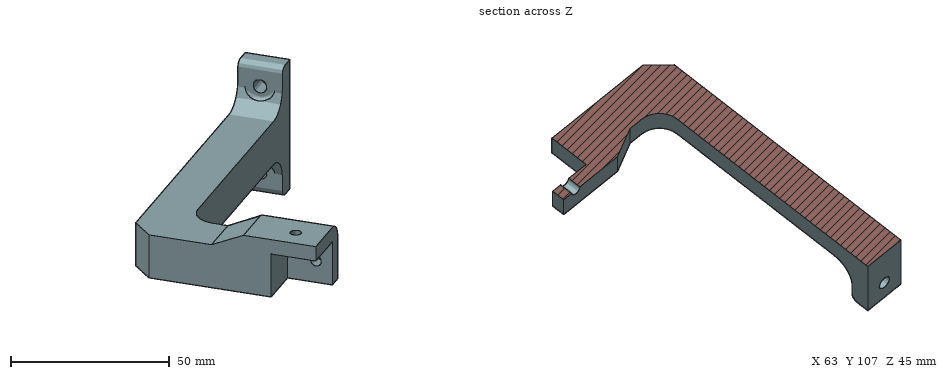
import cadquery as cq
import math

bar = 15.0
length_x = 63.0
length_y = 107.0
half_bar = bar / 2
bend_fillet = 8.0
bend_chamfer = 7.0

plate_height = 45.0
plate_thickness = 7.0
plate_fillet = 8.0
plate_edge_radius = 2.5
mount_hole_diameter = 4.5
mount_hole_z = 15.0
recess_diameter = 12.4
recess_floor_radius = 1.0
recess_z = 16.85

wall = 5.0
ramp_start = 28.0
ramp_angle = 25.0
ramp_end = ramp_start + wall / math.tan(math.radians(ramp_angle))
pocket_length = 15.0
small_hole_diameter = 3.5
top_hole_x = 53.5
side_hole_x = 57.5


def box(x0, x1, y0, y1, z0, z1):
    """Axis-aligned block between two opposite corners."""
    return cq.Workplane("XY").box(x1 - x0, y1 - y0, z1 - z0, centered=False).translate((x0, y0, z0))


def bent_bar():
    """L-shaped bar with a rounded inner corner and a chamfered outer corner."""
    return (
        cq.Workplane("XY")
        .workplane(offset=-half_bar)
        .polyline([(0, 0), (length_x, 0), (length_x, bar), (bar, bar), (bar, length_y), (0, length_y)])
        .close()
        .extrude(bar)
        .edges(cq.selectors.NearestToPointSelector((bar, bar, 0)))
        .fillet(bend_fillet)
        .edges(cq.selectors.NearestToPointSelector((0, 0, 0)))
        .chamfer(bend_chamfer)
    )


def plate_half():
    """Upper half of the mounting plate with its fillet onto the bar."""
    face_y = length_y - plate_thickness
    top = plate_height / 2
    fillet_sag = plate_fillet * (1 - math.sqrt(0.5))
    edge_sag = plate_edge_radius * (1 - math.sqrt(0.5))
    plate = (
        cq.Workplane("YZ")
        .moveTo(length_y, 0)
        .lineTo(length_y, top)
        .lineTo(face_y + plate_edge_radius, top)
        .threePointArc((face_y + edge_sag, top - edge_sag), (face_y, top - plate_edge_radius))
        .lineTo(face_y, half_bar + plate_fillet)
        .threePointArc(
            (face_y - fillet_sag, half_bar + fillet_sag),
            (face_y - plate_fillet, half_bar),
        )
        .lineTo(face_y - plate_fillet, 0)
        .close()
        .extrude(bar)
    )
    return plate.cut(head_recess()).cut(mount_hole())


def mount_hole():
    """Screw hole through the mounting plate."""
    return (
        cq.Workplane("XZ", origin=(half_bar, length_y, mount_hole_z))
        .circle(mount_hole_diameter / 2)
        .extrude(plate_thickness + plate_fillet)
    )


def head_recess():
    """Round-bottomed recess in the plate fillet, its flat floor level with the plate face."""
    return (
        cq.Workplane("XZ", origin=(half_bar, length_y - plate_thickness, recess_z))
        .circle(recess_diameter / 2)
        .extrude(plate_fillet)
        .edges(">Y")
        .fillet(recess_floor_radius)
    )


def bracket():
    """Walls above and behind the bar end, with a ramp that grows out of the bar."""
    corner_reach = wall * math.sqrt(0.5)
    walls = (
        cq.Workplane("YZ", origin=(ramp_end, 0, 0))
        .moveTo(0, -half_bar)
        .lineTo(bar + wall, -half_bar)
        .lineTo(bar + wall, half_bar)
        .threePointArc((bar + corner_reach, half_bar + corner_reach), (bar, half_bar + wall))
        .lineTo(0, half_bar + wall)
        .close()
        .extrude(length_x - ramp_end)
    )
    top_ramp = (
        cq.Workplane("XZ")
        .polyline([(ramp_start, half_bar), (ramp_end, half_bar), (ramp_end, half_bar + wall)])
        .close()
        .extrude(-bar)
    )
    back_ramp = (
        cq.Workplane("XY", origin=(0, 0, -half_bar))
        .polyline([(ramp_start, bar), (ramp_end, bar), (ramp_end, bar + wall)])
        .close()
        .extrude(bar)
    )
    corner_cone = cq.Workplane(
        cq.Solid.makeCone(
            0, wall, ramp_end - ramp_start, cq.Vector(ramp_start, bar, half_bar), cq.Vector(1, 0, 0)
        )
    )
    outer_corner = box(ramp_start, ramp_end, bar, bar + wall, half_bar, half_bar + wall)
    return walls.union(top_ramp).union(back_ramp).union(corner_cone.intersect(outer_corner))


def bracket_cuts():
    """Open pocket below the top wall and the two bracket holes."""
    pocket = box(length_x - pocket_length, length_x, 0, bar, -half_bar, half_bar)
    top_hole = (
        cq.Workplane("XY", origin=(top_hole_x, half_bar, half_bar))
        .circle(small_hole_diameter / 2)
        .extrude(wall)
    )
    side_hole = (
        cq.Workplane("XZ", origin=(side_hole_x, bar, 0))
        .circle(small_hole_diameter / 2)
        .extrude(-wall)
    )
    return pocket.union(top_hole).union(side_hole)


upper_plate = plate_half()
result = (
    bent_bar()
    .union(upper_plate)
    .union(upper_plate.mirror("XY"))
    .union(bracket())
    .cut(bracket_cuts())
    .clean()
)